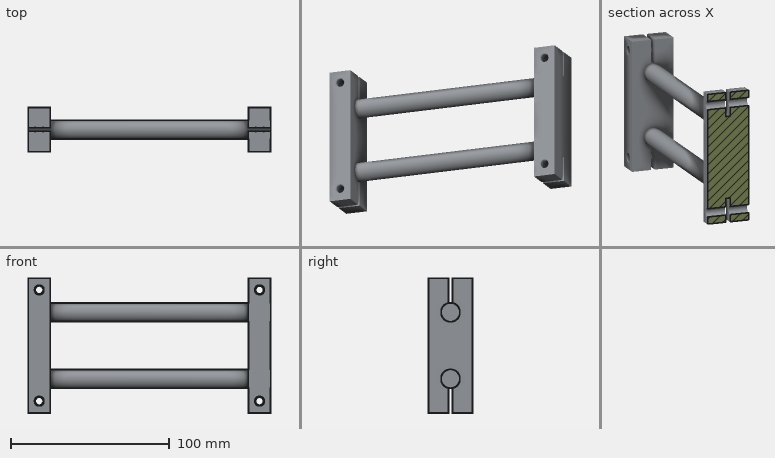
import cadquery as cq

overall_length = 153.0
block_depth = 28.0
block_height = 85.0

block_width = 14.0
rod_protrusion = 0.2
rod_diameter = 12.0
rod_spacing = 41.9

slot_width = 2.5
screw_spacing = 70.0
screw_diameter = 5.0
screw_chamfer = 0.5

left_face = -overall_length / 2
right_face = overall_length / 2 - rod_protrusion
block_centers = (left_face + block_width / 2, right_face - block_width / 2)
slot_depth = block_height / 2 - rod_spacing / 2


def make_rod(z):
    """Rod flush with the left block and slightly proud of the right one."""
    return (
        cq.Workplane("YZ", origin=(left_face, 0, z))
        .circle(rod_diameter / 2)
        .extrude(overall_length)
    )


def make_screw_hole(x, z):
    """Cutter for a through hole along Y, chamfered at both mouths."""
    half_depth = block_depth / 2
    radius = screw_diameter / 2
    mouth_radius = radius + screw_chamfer
    profile = (
        cq.Workplane("XY")
        .moveTo(0, -half_depth)
        .lineTo(mouth_radius, -half_depth)
        .lineTo(radius, -half_depth + screw_chamfer)
        .lineTo(radius, half_depth - screw_chamfer)
        .lineTo(mouth_radius, half_depth)
        .lineTo(0, half_depth)
        .close()
    )
    return profile.revolve(360, (0, 0, 0), (0, 1, 0)).translate((x, 0, z))


def make_block(x):
    """Block split at both ends, with a clamp screw hole across each slot."""
    block = cq.Workplane().box(block_width, block_depth, block_height).translate((x, 0, 0))
    for side in (-1, 1):
        slot_z = side * (block_height - slot_depth) / 2
        slot = cq.Workplane().box(block_width, slot_width, slot_depth).translate((x, 0, slot_z))
        block = block.cut(slot).cut(make_screw_hole(x, side * screw_spacing / 2))
    return block


result = make_rod(-rod_spacing / 2).union(make_rod(rod_spacing / 2))
for center in block_centers:
    result = result.union(make_block(center))
result = result.clean()